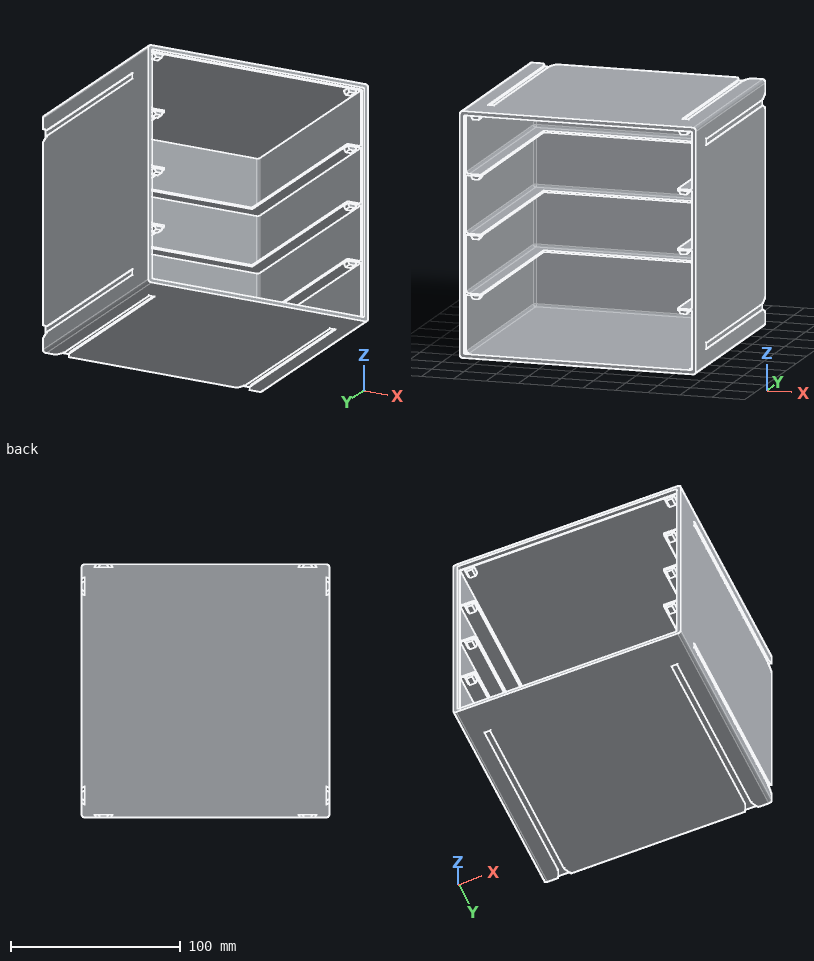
import cadquery as cq
WIDTH = 146.1
DEPTH = 134.4
HEIGHT = 149.3
CORNER_RADIUS = 2.0

RIM_WALL = 2.5
RIM_DEPTH = 3.0
RIM_CORNER_RADIUS = 1.0
RIM_STEP = 0.7
BACK_WALL = 1.0

BAY_COUNT = 4
LEDGE_THICKNESS = 1.0
LEDGE_WIDTH = 9.0
BAY_FILLET = 1.5

STOP_WIDTH = 6.1
STOP_TIP_WIDTH = 3.6
STOP_LENGTH = 5.1
STOP_DROP = 2.2
STOP_INSET = 8.8
STOP_SETBACK = 0.5

GROOVE_WIDTH = 3.6
GROOVE_BASE_WIDTH = 6.0
GROOVE_DEPTH = 1.8
GROOVE_START = 20.3
GROOVE_INSET = 13.0
FLARE_LENGTH = 5.0
FLARE_WIDENING = 4.8

SIDE = WIDTH / 2 - RIM_WALL - RIM_STEP
FLOOR = RIM_WALL - HEIGHT / 2
ROOF = HEIGHT / 2 - RIM_WALL - RIM_STEP
INNER_DEPTH = DEPTH - BACK_WALL - RIM_DEPTH
BAY_PITCH = (ROOF - FLOOR + LEDGE_THICKNESS) / BAY_COUNT
BAY_HEIGHT = BAY_PITCH - LEDGE_THICKNESS


def block(half_width, front, depth, bottom, height):
    """Box centred on X, from the given front Y and bottom Z."""
    body = cq.Workplane("XY").box(2 * half_width, depth, height, centered=(True, False, False))
    return body.translate((0, front, bottom))


def shell():
    """Solid block with the shallow, wider recess of the rim."""
    body = block(WIDTH / 2, 0, DEPTH, -HEIGHT / 2, HEIGHT).edges("|Y").fillet(CORNER_RADIUS)
    rim = block(WIDTH / 2 - RIM_WALL, 0, RIM_DEPTH, FLOOR, HEIGHT - 2 * RIM_WALL)
    return body.cut(rim.edges("|Y").fillet(RIM_CORNER_RADIUS))


def bay(floor):
    """Drawer space, rounded along the floor and the upright back corners."""
    space = block(SIDE, RIM_DEPTH, INNER_DEPTH, floor, BAY_HEIGHT)
    space = space.edges("|Z and >Y").fillet(BAY_FILLET)
    return space.faces("<Z").edges("not <Y").fillet(BAY_FILLET)


def ledge_opening():
    """Clear space between the ledges, joining all the bays."""
    bottom = FLOOR + BAY_FILLET
    return block(SIDE - LEDGE_WIDTH, RIM_DEPTH, INNER_DEPTH - LEDGE_WIDTH, bottom, ROOF - bottom)


def stop(x, top):
    """Short tapered rib along Y, hanging from the surface at height top."""
    half = STOP_WIDTH / 2
    tip = STOP_TIP_WIDTH / 2
    profile = cq.Workplane("XZ", origin=(x, RIM_DEPTH + STOP_SETBACK, top))
    profile = profile.polyline([(-half, 0), (-tip, -STOP_DROP), (tip, -STOP_DROP), (half, 0)]).close()
    return profile.extrude(-STOP_LENGTH)


def dovetail(y, widening):
    """Closed dovetail section across Y, its opening on Z = 0."""
    half = (GROOVE_WIDTH + widening) / 2
    base = (GROOVE_BASE_WIDTH + widening) / 2
    corners = [(-half, 0), (half, 0), (base, -GROOVE_DEPTH), (-base, -GROOVE_DEPTH)]
    return cq.Wire.makePolygon([cq.Vector(x, y, z) for x, z in corners], close=True)


def groove():
    """Dovetail groove cutter along Y below Z = 0, flaring towards the back face."""
    flare_start = DEPTH - FLARE_LENGTH
    straight = cq.Solid.makeLoft([dovetail(GROOVE_START, 0), dovetail(flare_start, 0)], True)
    flare = cq.Solid.makeLoft([dovetail(flare_start, 0), dovetail(DEPTH, FLARE_WIDENING)], True)
    return cq.Workplane(straight).union(cq.Workplane(flare))


result = shell()

floors = [FLOOR + i * BAY_PITCH for i in range(BAY_COUNT)]
for floor in floors:
    result = result.cut(bay(floor))
result = result.cut(ledge_opening())

for floor in floors:
    for side in (-1, 1):
        result = result.union(stop(side * (WIDTH / 2 - STOP_INSET), floor + BAY_HEIGHT))

cutter = groove()
across_x = WIDTH / 2 - GROOVE_INSET
across_z = HEIGHT / 2 - GROOVE_INSET
for turn, across, reach in (
    (0, across_x, HEIGHT / 2),
    (90, across_z, WIDTH / 2),
    (180, across_x, HEIGHT / 2),
    (270, across_z, WIDTH / 2),
):
    for side in (-1, 1):
        placed = cutter.translate((side * across, 0, reach))
        result = result.cut(placed.rotate((0, 0, 0), (0, 1, 0), turn))